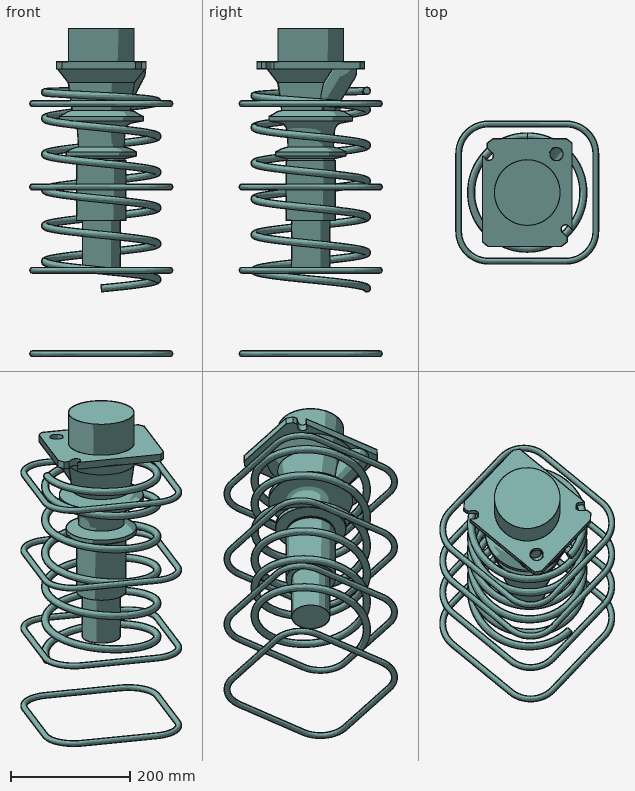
import cadquery as cq
import math

RING_WIDTH = 240.0
RING_BAR_RADIUS = 5.0
RING_STRAIGHT = 130.0
RING_PITCH = 140.0
RING_COUNT = 4
RING_HALF = RING_WIDTH / 2 - RING_BAR_RADIUS
RING_CORNER_RADIUS = RING_HALF - RING_STRAIGHT / 2

SPRING_RADIUS = 94.0
WIRE_RADIUS = 6.0
SPRING_BOTTOM = 114.5
SPRING_PITCH = 60.0
OPEN_TURNS = 5
CLOSED_COIL_DROP = 31.5
POINTS_PER_TURN = 24
SPRING_TOP = SPRING_BOTTOM + OPEN_TURNS * SPRING_PITCH + CLOSED_COIL_DROP

CAP_TOP = 551.0
CAP_RADIUS = 55.0
PLATE_LENGTH_X = 151.0
PLATE_LENGTH_Y = 181.5
PLATE_THICKNESS = 12.0
PLATE_BOTTOM = 483.0
PLATE_TOP = PLATE_BOTTOM + PLATE_THICKNESS
CORNER_CUT_X = 10.0
CORNER_CUT_Y = 7.5
CORNER_STEP = 8.0
SLOT_X = -64.5
SLOT_Y = 61.5
SLOT_WIDTH = 15.0
SLOT_LENGTH = 44.0
SLOT_ANGLE = 135

SKIRT_RADIUS = 74.0
NECK_TOP_RADIUS = 55.5
NECK_TOP_DEPTH = 23.0
NECK_BOTTOM_RADIUS = 49.0
NECK_BOTTOM_DEPTH = 70.0
UPPER_FLARE_RADIUS = 63.0
UPPER_FLARE_DEPTH = 76.0
UPPER_FLANGE_RADIUS = 70.5
UPPER_FLANGE_TOP = 80.0
UPPER_FLANGE_BOTTOM = 87.5
FILLET_TOP_RADIUS = 49.5
FILLET_TOP_DEPTH = 91.5
WAIST_TOP_RADIUS = 40.0
WAIST_TOP_DEPTH = 103.5
WAIST_BOTTOM_RADIUS = 38.5
WAIST_BOTTOM_DEPTH = 126.0
LOWER_FLARE_DEPTH = 131.0
LOWER_FLANGE_RADIUS = 59.0
LOWER_FLANGE_TOP = 139.5
LOWER_FLANGE_BOTTOM = 146.5
RELIEF_RADIUS = 39.5
RELIEF_DEPTH = 151.0
TUBE_RADIUS = 41.5
TUBE_TOP_DEPTH = 154.5
TUBE_BOTTOM_DEPTH = 254.5
ROD_RADIUS = 32.0
ROD_BOTTOM_DEPTH = 335.5
FLARE_SAG = 1.0
FILLET_SAG = -2.0

DUCT_RADIUS = 22.0
DUCT_X = 52.5
DUCT_Y = 55.0
DUCT_BEND_DEPTH = 4.5
DUCT_LENGTH = 71.5
DUCT_DIRECTION = cq.Vector(-0.515, -0.62, -1)
BORE_RADIUS = 11.0
BORE_X = 49.0
BORE_Y = 64.5
BORE_LENGTH = 33.0


def make_ring(center_z):
    """Closed ring whose bar centre follows a square with rounded corners."""
    square = cq.Wire.makePolygon(
        [(RING_HALF * x, RING_HALF * y, center_z) for x, y in ((1, 1), (-1, 1), (-1, -1), (1, -1))],
        close=True,
    )
    path = square.fillet2D(RING_CORNER_RADIUS, square.Vertices())
    bar = cq.Workplane("XZ", origin=(RING_HALF, 0, center_z)).circle(RING_BAR_RADIUS)
    return bar.sweep(cq.Workplane(path)).val()


def spring_point(turns):
    """Wire centre after a number of turns; the slope grows evenly over the first, closed turn."""
    first_pitch = 2 * CLOSED_COIL_DROP - SPRING_PITCH
    if turns < 1:
        drop = first_pitch * turns + (SPRING_PITCH - first_pitch) * turns**2 / 2
    else:
        drop = CLOSED_COIL_DROP + SPRING_PITCH * (turns - 1)
    angle = math.pi / 2 + 2 * math.pi * turns
    return (SPRING_RADIUS * math.cos(angle), SPRING_RADIUS * math.sin(angle), SPRING_TOP - drop)


def make_spring():
    """Round wire swept along the whole winding."""
    steps = (OPEN_TURNS + 1) * POINTS_PER_TURN
    points = [spring_point(i / POINTS_PER_TURN) for i in range(steps + 1)]
    path = cq.Workplane("XY").spline(points)
    wire = cq.Workplane("YZ", origin=points[0]).circle(WIRE_RADIUS)
    return wire.sweep(path, isFrenet=True).val()


def make_plate():
    """Plate with cut corners and, at two opposite corners, a step and an open slot."""
    half_x = PLATE_LENGTH_X / 2
    half_y = PLATE_LENGTH_Y / 2
    step_x = half_x - CORNER_STEP
    half_outline = [
        (half_x - CORNER_CUT_X, half_y),
        (half_x, half_y - CORNER_CUT_Y),
        (half_x, -SLOT_Y),
        (step_x, -SLOT_Y),
        (step_x, CORNER_CUT_Y - half_y),
        (step_x - CORNER_CUT_X, -half_y),
    ]
    outline = half_outline + [(-x, -y) for x, y in half_outline]
    plate_base = cq.Workplane("XY", origin=(0, 0, PLATE_BOTTOM))
    plate = plate_base.polyline(outline).close().extrude(PLATE_THICKNESS)
    for turn in (0, 180):
        slot = (
            plate_base.transformed(rotate=(0, 0, turn))
            .center(SLOT_X, SLOT_Y)
            .transformed(rotate=(0, 0, SLOT_ANGLE))
            .center((SLOT_LENGTH - SLOT_WIDTH) / 2, 0)
            .slot2D(SLOT_LENGTH, SLOT_WIDTH)
            .extrude(PLATE_THICKNESS)
        )
        plate = plate.cut(slot)
    return plate


def make_turned_column():
    """Skirt, neck, two flanges, tube and rod as one revolved profile."""
    profile = (
        cq.Workplane("XZ", origin=(0, 0, PLATE_BOTTOM))
        .moveTo(0, 0)
        .lineTo(SKIRT_RADIUS, 0)
        .lineTo(NECK_TOP_RADIUS, -NECK_TOP_DEPTH)
        .lineTo(NECK_BOTTOM_RADIUS, -NECK_BOTTOM_DEPTH)
        .sagittaArc((UPPER_FLARE_RADIUS, -UPPER_FLARE_DEPTH), FLARE_SAG)
        .lineTo(UPPER_FLANGE_RADIUS, -UPPER_FLANGE_TOP)
        .lineTo(UPPER_FLANGE_RADIUS, -UPPER_FLANGE_BOTTOM)
        .lineTo(FILLET_TOP_RADIUS, -FILLET_TOP_DEPTH)
        .sagittaArc((WAIST_TOP_RADIUS, -WAIST_TOP_DEPTH), FILLET_SAG)
        .lineTo(WAIST_BOTTOM_RADIUS, -WAIST_BOTTOM_DEPTH)
        .lineTo(WAIST_BOTTOM_RADIUS, -LOWER_FLARE_DEPTH)
        .sagittaArc((LOWER_FLANGE_RADIUS, -LOWER_FLANGE_TOP), FLARE_SAG)
        .lineTo(LOWER_FLANGE_RADIUS, -LOWER_FLANGE_BOTTOM)
        .lineTo(RELIEF_RADIUS, -RELIEF_DEPTH)
        .lineTo(RELIEF_RADIUS, -TUBE_TOP_DEPTH)
        .lineTo(TUBE_RADIUS, -TUBE_TOP_DEPTH)
        .lineTo(TUBE_RADIUS, -TUBE_BOTTOM_DEPTH)
        .lineTo(ROD_RADIUS, -TUBE_BOTTOM_DEPTH)
        .lineTo(ROD_RADIUS, -ROD_BOTTOM_DEPTH)
        .lineTo(0, -ROD_BOTTOM_DEPTH)
        .close()
    )
    return profile.revolve(360, (0, 0, 0), (0, 1, 0))


def make_bent_rod(x, y, top, bend, radius, length):
    """Vertical rod from top down to bend, then slanted along the duct direction."""
    elbow = cq.Vector(x, y, bend)
    upright = cq.Solid.makeCylinder(radius, top - bend, elbow, cq.Vector(0, 0, 1))
    joint = cq.Workplane("XY").sphere(radius).translate(elbow.toTuple())
    slanted = cq.Solid.makeCylinder(radius, length, elbow, DUCT_DIRECTION)
    return joint.union(cq.Workplane(upright)).union(cq.Workplane(slanted))


def make_column():
    """Cap, plate, turned column and duct as one solid, with a slanted blind bore from the plate."""
    cap = cq.Workplane("XY", origin=(0, 0, PLATE_TOP)).circle(CAP_RADIUS).extrude(CAP_TOP - PLATE_TOP)
    duct_bend = PLATE_BOTTOM - DUCT_BEND_DEPTH
    duct = make_bent_rod(DUCT_X, DUCT_Y, PLATE_BOTTOM, duct_bend, DUCT_RADIUS, DUCT_LENGTH)
    below_plate = cq.Workplane("XY").rect(RING_WIDTH, RING_WIDTH).extrude(PLATE_BOTTOM)
    duct = duct.intersect(below_plate)
    bore = make_bent_rod(BORE_X, BORE_Y, PLATE_TOP, PLATE_BOTTOM, BORE_RADIUS, BORE_LENGTH)
    return make_plate().union(cap).union(make_turned_column()).union(duct).cut(bore)


column = make_column()
spring = make_spring()
rings = [make_ring(RING_BAR_RADIUS + i * RING_PITCH) for i in range(RING_COUNT)]

result = cq.Compound.makeCompound([column.val(), spring, *rings])